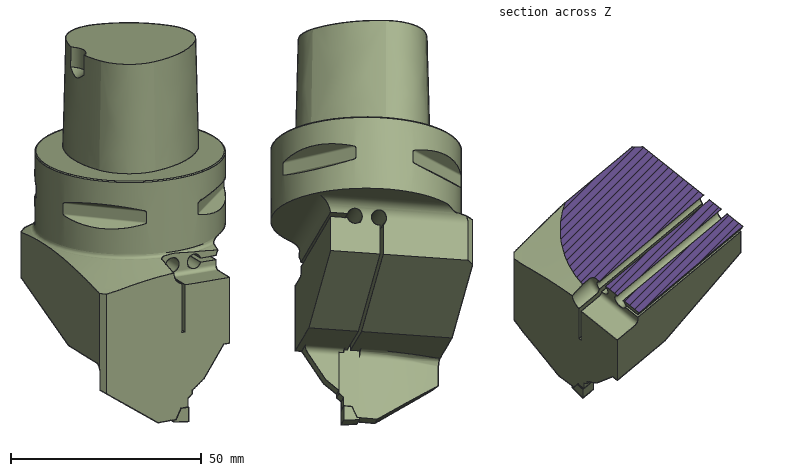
import cadquery as cq
import math


shank_height = 30.0
lobe_reach = 18.7
flat_reach = 16.5
lobe_radius = 12.1
shank_taper = 0.8

keyway_radius = 4.6
keyway_depth = 5.5
keyway_tip = 3.5
keyway_axis_y = -18.2

flange_radius = 25.0
flange_height = 20.0
flange_chamfer = 0.3
groove_floor_offset = 22.2
groove_floor_width = 3.4
groove_fillet = 0.6
groove_mouth_width = 6.7

head_left = -13.5
head_front = -26.0
head_back = 12.3
head_right = 32.8
head_right_bulge = 33.7
bulge_start_y = -4.3
bulge_end_y = -21.3
bulge_middle_x = 33.2
head_bottom = -45.3
head_root_fillet = 4.0
left_chamfer = 1.5
right_chamfer = 1.3
slope_top = -34.0
slope_end_x = 14.9
shoulder_fillet = 1.0
rim_overhang = 0.3
shoulder_angle = 15

relief_left = 25.1
relief_front = -4.3
relief_floor = -27.1
relief_corner_radius = 4.2
relief_wall_fillet = 1.2
clamp_hole_diameter = 4.0
clamp_hole_z = -23.9
side_hole_y = 5.8
slit_hole_y = -0.7
side_slot_width = 1.1
slit_left_y = -0.95
slit_right_y = -1.8
slit_floor = -40.1
slit_end_x = 29.1
slit_step = -43.9

blade_back_inner_x = 29.6
blade_front_inner_x = 32.5
blade_middle_inner_x = 30.2
blade_back = 10.5
blade_bottom = -63.9
blade_front_corner_z = -52.25
blade_bottom_front_y = -9.0
blade_back_bend = (4.75, -53.9)
blade_back_end_z = -56.6
blade_fillet = 1.7
blade_anchor = 2.85
seat_x = 29.4
seat_back = 1.2
seat_front = -4.3
seat_back_bottom = -57.6
seat_nose_z = -58.6

insert_left = 29.1
insert_right = 33.2
insert_side_clearance = 0.3
insert_top = -61.0
insert_tip = -65.0
insert_heel = -64.5
insert_back_top_y = -2.2
insert_back_bottom_y = -3.6

reach = 57.0
margin = 0.5


def box_between(x0, x1, y0, y1, z0, z1):
    """Box given by its limits along X, Y and Z."""
    return cq.Workplane("XY").box(x1 - x0, y1 - y0, z1 - z0, centered=False).translate((x0, y0, z0))


def extrude_along_x(points, x0, x1):
    """Prism along X from a closed outline of (y, z) points."""
    return cq.Workplane("YZ", origin=(x0, 0, 0)).polyline(points).close().extrude(x1 - x0)


def polar(radius, degrees):
    angle = math.radians(degrees)
    return cq.Vector(radius * math.cos(angle), radius * math.sin(angle), 0)


def shank_wire(inset, z):
    """Three lobe arcs joined by three tangent side arcs, offset inward by inset."""
    lobe_center = lobe_reach - lobe_radius
    drop = lobe_reach - flat_reach
    side_center = drop * (2 * lobe_center - drop) / (lobe_center - 2 * drop)
    side_radius = side_center + flat_reach
    lift = cq.Vector(0, 0, z)
    edges = []
    for lobe_angle in (90, 210, 330):
        center = polar(lobe_center, lobe_angle)
        before = polar(side_center, lobe_angle + 120)
        after = polar(side_center, lobe_angle - 120)
        next_center = polar(lobe_center, lobe_angle + 120)
        start = before + (center - before).normalized() * (side_radius - inset) + lift
        end = after + (center - after).normalized() * (side_radius - inset) + lift
        side_end = after + (next_center - after).normalized() * (side_radius - inset) + lift
        lobe_tip = polar(lobe_reach - inset, lobe_angle) + lift
        side_middle = polar(flat_reach - inset, lobe_angle + 60) + lift
        edges.append(cq.Edge.makeThreePointArc(start, lobe_tip, end))
        edges.append(cq.Edge.makeThreePointArc(end, side_middle, side_end))
    return cq.Wire.assembleEdges(edges)


def make_shank():
    wires = [shank_wire(0, 0), shank_wire(shank_taper, shank_height)]
    shank = cq.Workplane(cq.Solid.makeLoft(wires, True))
    keyway_floor = shank_height - keyway_depth
    keyway = (
        cq.Workplane("XZ")
        .polyline([
            (0, keyway_floor - keyway_tip),
            (keyway_radius, keyway_floor),
            (keyway_radius, shank_height),
            (0, shank_height),
        ])
        .close()
        .revolve(360, (0, 0), (0, 1))
        .translate((0, keyway_axis_y, 0))
    )
    return shank.cut(keyway)


def make_flange():
    flange = cq.Workplane("XY").circle(flange_radius).extrude(-flange_height)
    flange = flange.faces(">Z").edges().chamfer(flange_chamfer)
    flank_slope = (groove_mouth_width - groove_floor_width) / 2 / (flange_radius - groove_floor_offset)
    outer = flange_radius + margin
    outer_half = groove_floor_width / 2 + flank_slope * (outer - groove_floor_offset)
    groove = (
        cq.Workplane("XZ", origin=(0, 0, -flange_height / 2))
        .polyline([
            (groove_floor_offset, -groove_floor_width / 2),
            (outer, -outer_half),
            (outer, outer_half),
            (groove_floor_offset, groove_floor_width / 2),
        ])
        .close()
        .extrude(flange_radius, both=True)
        .edges("|Y and <X")
        .fillet(groove_fillet)
    )
    for angle in (45, 135, 225, 315):
        flange = flange.cut(groove.rotate((0, 0, 0), (0, 0, 1), angle))
    return flange


def shoulder_envelope():
    """Space below the flange: a short rim wall, a quarter-round fillet and a cone falling outwards."""
    top = -flange_height
    rim_z = top - rim_overhang
    cone_start_r = flange_radius + shoulder_fillet
    cone_start_z = rim_z - shoulder_fillet
    round_inset = shoulder_fillet * (1 - math.sqrt(0.5))
    cone_drop = (reach - cone_start_r) * math.tan(math.radians(shoulder_angle))
    return (
        cq.Workplane("XZ")
        .moveTo(0, top)
        .lineTo(flange_radius, top)
        .lineTo(flange_radius, rim_z)
        .threePointArc(
            (flange_radius + round_inset, cone_start_z + round_inset),
            (cone_start_r, cone_start_z),
        )
        .lineTo(reach, cone_start_z - cone_drop)
        .lineTo(reach, insert_tip)
        .lineTo(0, insert_tip)
        .close()
        .revolve(360, (0, 0), (0, 1))
    )


def footprint():
    """Plan limits of head and blade on the -Y and +X sides, open towards -X and +Y."""
    chamfer_x = head_left + left_chamfer
    bulge_middle = (bulge_middle_x, (bulge_start_y + bulge_end_y) / 2)
    return (
        cq.Workplane("XY", origin=(0, 0, insert_tip))
        .moveTo(chamfer_x, head_front)
        .lineTo(head_right_bulge - right_chamfer, head_front)
        .lineTo(head_right_bulge, head_front + right_chamfer)
        .lineTo(head_right_bulge, bulge_end_y)
        .threePointArc(bulge_middle, (head_right, bulge_start_y))
        .lineTo(head_right, reach)
        .lineTo(chamfer_x - reach, reach)
        .lineTo(chamfer_x - reach, head_front + reach)
        .close()
        .extrude(-insert_tip)
    )


def make_head():
    """Block under the flange, with a filleted root and a sloped underside."""
    top = -flange_height
    head = box_between(head_left, reach, -reach, head_back, head_bottom, top)
    root = box_between(-reach, reach, -reach, reach, top, 0)
    corner = cq.selectors.BoxSelector(
        (head_left - margin, -reach - margin, top - margin),
        (reach + margin, head_back + margin, top + margin),
        boundingbox=True,
    )
    head = head.union(root).edges(corner).fillet(head_root_fillet)
    underside = (
        cq.Workplane("XZ")
        .polyline([(head_left, slope_top), (slope_end_x, head_bottom), (head_left, head_bottom)])
        .close()
        .extrude(reach, both=True)
    )
    return head.intersect(shoulder_envelope()).cut(underside)


def root_filleted(wall, y0, y1):
    """Wall anchored in the head, with a fillet where its inner side meets the head underside."""
    anchor = box_between(slope_end_x, reach, y0, y1, head_bottom, head_bottom + blade_anchor)
    corner = cq.selectors.BoxSelector(
        (seat_x - margin, y0 - margin, head_bottom - margin),
        (reach - margin, y1 + margin, head_bottom + margin),
        boundingbox=True,
    )
    return wall.union(anchor).edges(corner).fillet(blade_fillet)


def blade_side_profile():
    """Outline of the blade across X, extruded over the whole blade and its anchor."""
    anchor_top = head_bottom + blade_anchor
    return extrude_along_x(
        [
            (head_front, anchor_top),
            (head_front, blade_front_corner_z),
            (blade_bottom_front_y, blade_bottom),
            (0, blade_bottom),
            (0, seat_nose_z),
            (seat_back, seat_back_bottom),
            (seat_back, blade_back_end_z),
            blade_back_bend,
            (blade_back, head_bottom),
            (blade_back, anchor_top),
        ],
        0,
        reach,
    )


def make_blade():
    """Curved blade hanging from the head, with the flat insert seat on its inner side."""
    front_wall = (
        cq.Workplane("XY", origin=(0, 0, blade_bottom))
        .moveTo(blade_front_inner_x, head_front)
        .threePointArc(
            (blade_middle_inner_x, (seat_front + head_front) / 2),
            (seat_x, seat_front),
        )
        .lineTo(reach, seat_front)
        .lineTo(reach, head_front)
        .close()
        .extrude(head_bottom - blade_bottom)
    )
    back_wall = box_between(blade_back_inner_x, reach, 0, blade_back, blade_bottom, head_bottom)
    seat = box_between(seat_x, reach, seat_front, seat_back, blade_bottom, head_bottom)
    blade = root_filleted(front_wall, head_front, seat_front)
    blade = blade.union(root_filleted(back_wall, 0, blade_back)).union(seat)
    return blade.intersect(blade_side_profile())


def make_insert():
    """Grooving insert: side outline across X, narrowed towards the heel for clearance."""
    outline = extrude_along_x(
        [
            (0, insert_top),
            (insert_back_top_y, insert_top),
            (insert_back_bottom_y, blade_bottom),
            (seat_front, blade_bottom),
            (seat_front, insert_heel),
            (0, insert_tip),
        ],
        insert_left,
        insert_right,
    )
    plan = (
        cq.Workplane("XY", origin=(0, 0, insert_tip))
        .polyline([
            (insert_left, 0),
            (insert_right, 0),
            (insert_right - insert_side_clearance, seat_front),
            (insert_left + insert_side_clearance, seat_front),
        ])
        .close()
        .extrude(insert_top - insert_tip)
    )
    return outline.intersect(plan).solids()


def insert_pocket():
    """Cut through the blade along X with the side outline of the insert."""
    return extrude_along_x(
        [
            (0, insert_top),
            (insert_back_top_y, insert_top),
            (insert_back_bottom_y, blade_bottom),
            (0, blade_bottom),
        ],
        0,
        reach,
    )


def clamp_relief():
    """Step in the +X, +Y part of the head, with a rounded corner and a filleted wall."""
    relief = box_between(relief_left, reach, relief_front, reach, relief_floor, -flange_height)
    relief = relief.edges("|X and <Y and <Z").fillet(relief_corner_radius)
    return relief.faces("<X").edges("<Z").fillet(relief_wall_fillet)


def clamp_cuts():
    """Two cross holes, a slot from one to the +Y side and a slit from the other down to the seat."""
    holes = (
        cq.Workplane("YZ")
        .pushPoints([(side_hole_y, clamp_hole_z), (slit_hole_y, clamp_hole_z)])
        .circle(clamp_hole_diameter / 2)
        .extrude(reach, both=True)
    )
    slot_top = clamp_hole_z + side_slot_width / 2
    cuts = holes.union(box_between(-reach, reach, side_hole_y, reach, slot_top - side_slot_width, slot_top))
    slit_steps = [
        (reach, slit_floor, clamp_hole_z),
        (slit_end_x, slit_step, slit_floor),
        (seat_x, head_bottom, slit_step),
    ]
    for end_x, bottom, top in slit_steps:
        cuts = cuts.union(box_between(-reach, end_x, slit_right_y, slit_left_y, bottom, top))
    return cuts


def make_holder():
    holder = make_head().union(make_blade()).intersect(footprint())
    holder = holder.union(make_flange()).union(make_shank())
    return holder.cut(clamp_relief()).cut(clamp_cuts()).cut(insert_pocket()).solids()


holder = make_holder()
insert = make_insert()
result = cq.Compound.makeCompound([holder.val(), insert.val()])